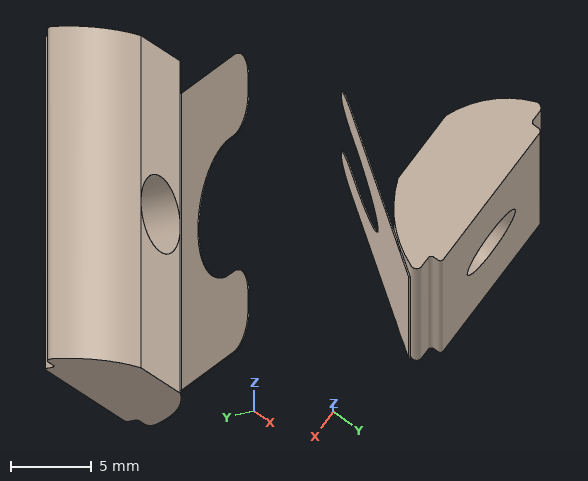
import cadquery as cq
import math

length = 22.0
body_depth = 5.35
hole_diameter = 5.0
flat_half_width = hole_diameter / 2
belly_radius = 7.0
neck_half_width = 5.24
neck_height = 0.81
neck_radius = 0.25
lip_radius = 0.4

sheet_angle = 55.0
sheet_thickness = 0.1
sheet_sink = 0.02
sheet_width = 19.67
reach_up = 2.0
reach_down = 11.02
leg_corner_radius = 2.0
notch_radius = 4.49
notch_depth = 7.05

belly_center_y = math.sqrt(belly_radius**2 - flat_half_width**2)
shoulder_y = body_depth - neck_height


def belly_x(y):
    return math.sqrt(belly_radius**2 - (y - belly_center_y) ** 2)


def make_body():
    lip_x = belly_x(shoulder_y)
    mid_y = shoulder_y / 2
    mid_x = belly_x(mid_y)
    body = (
        cq.Workplane("XY")
        .moveTo(-flat_half_width, 0)
        .lineTo(flat_half_width, 0)
        .threePointArc((mid_x, mid_y), (lip_x, shoulder_y))
        .lineTo(neck_half_width, shoulder_y)
        .lineTo(neck_half_width, body_depth)
        .lineTo(-neck_half_width, body_depth)
        .lineTo(-neck_half_width, shoulder_y)
        .lineTo(-lip_x, shoulder_y)
        .threePointArc((-mid_x, mid_y), (-flat_half_width, 0))
        .close()
        .extrude(length)
    )
    rounded_corners = (
        (lip_x, shoulder_y, lip_radius),
        (neck_half_width, shoulder_y, neck_radius),
        (neck_half_width, body_depth, neck_radius),
    )
    for x, y, radius in rounded_corners:
        for side in (-1, 1):
            corner = cq.NearestToPointSelector((side * x, y, length / 2))
            body = body.edges("|Z").edges(corner).fillet(radius)
    return body


def make_hole():
    return (
        cq.Workplane("XZ", origin=(0, 0, length / 2))
        .circle(hole_diameter / 2)
        .extrude(-body_depth)
    )


def make_sheet():
    slant = math.radians(sheet_angle)
    outward = (math.sin(slant), -math.cos(slant), 0)
    offset = belly_radius - sheet_sink
    contact = (offset * outward[0], belly_center_y + offset * outward[1], length / 2)
    plane = cq.Plane(origin=contact, xDir=(math.cos(slant), math.sin(slant), 0), normal=outward)

    blank = (
        cq.Workplane(plane)
        .center((reach_up - reach_down) / 2, 0)
        .rect(reach_up + reach_down, sheet_width)
        .extrude(sheet_thickness)
    )
    notch_center_x = notch_depth - notch_radius - reach_down
    notch = (
        cq.Workplane(plane)
        .moveTo(-reach_down, -notch_radius)
        .lineTo(notch_center_x, -notch_radius)
        .threePointArc((notch_center_x + notch_radius, 0), (notch_center_x, notch_radius))
        .lineTo(-reach_down, notch_radius)
        .close()
        .extrude(sheet_thickness)
    )
    sheet = blank.cut(notch)
    for y in (-sheet_width / 2, -notch_radius, notch_radius, sheet_width / 2):
        tip = plane.toWorldCoords((-reach_down, y, sheet_thickness / 2))
        corner = cq.NearestToPointSelector(tip.toTuple())
        sheet = sheet.edges(cq.ParallelDirSelector(plane.zDir)).edges(corner).fillet(leg_corner_radius)
    return sheet


result = make_body().cut(make_hole()).union(make_sheet())